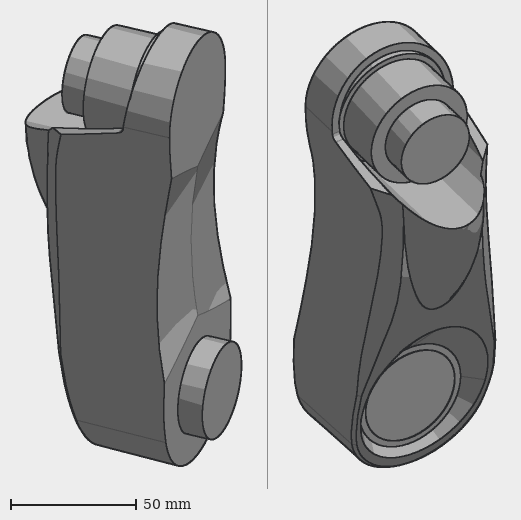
import cadquery as cq
import math


overall_length = 196.5

tool_span = 235.8

hub_radius = 28.5
lower_hub_radius = 33.2
axis_distance = overall_length - hub_radius - lower_hub_radius
lower_axis_z = -axis_distance
collar_diameter = 50.0
collar_height = 19.3
bearing_diameter = 45.2
bearing_height = 39.9
pin_diameter = 32.0
pin_height = 51.9
boss_diameter = 40.0
boss_length = 10.6

rib_height = 73.0
side_draft = 1.3
waist_half_width = 26.0
waist_top_z = -24.5
waist_bottom_z = -39.3
flare_half_width = 30.5
flare_z = -78.5
widest_half_width = 34.0
widest_z = -117.9
hub_blend_angle = 14
face_height = 57
face_bend_z = -76.6
face_bend_height = 54.2
face_slope = 11.7
bevel_edge_half_width = 22.5
bevel_edge_run = (5.3, 6.5, -40)
bevel_slope_run = (1, 1, 0)
rim_chamfer = 1.4

shoulder_top_height = 16.1
shoulder_bottom_height = 20.5
shoulder_z = -3.0
shoulder_run_height = 56.0
shoulder_run_z = -14.0
shoulder_fillet = 3.1

rib_base_height = 51.5
rib_half_width = 18.9
rib_crest_z = -24.2
rib_length = 57
rib_stations = (-0.3, 0, 0.3, 0.55, 0.75, 0.9, 0.98)

floor_height = 33.0
floor_diameter = 47.7
pocket_mouth_height = 53
pocket_mouth_half_width = 35.4
pocket_mouth_half_length = 41.3
pocket_mouth_shift = 4.5
cap_diameter = 42.0
cap_rise = 0.2

hollow_depth = 2.4
hollow_top_z = -34.0
hollow_bottom_z = -98.2
hollow_side_tilt = 4


def outward_plane(height, z=0):
    """Plane at a height above the mounting side, facing -X, local y along Z."""
    return cq.Plane(origin=(-height, 0, z), xDir=(0, -1, 0), normal=(-1, 0, 0))


def disc(diameter, start, end, z=0):
    """Cylinder along -X between two heights above the mounting side."""
    return cq.Workplane(outward_plane(start, z)).circle(diameter / 2).extrude(end - start)


def side_prism(sketch):
    """Extrude an XZ outline along Y, centred on the symmetry plane."""
    return sketch.close().extrude(tool_span).translate((0, tool_span / 2, 0))


def shell_outline(height, inset):
    """Closed outline of the shell walls, drawn in by an inset everywhere but at the upper hub."""
    blend = math.radians(hub_blend_angle)
    end_radius = lower_hub_radius - inset
    blend_y = end_radius * math.cos(blend)
    blend_z = lower_axis_z - end_radius * math.sin(blend)
    wall = [
        (waist_half_width - inset, waist_top_z),
        (waist_half_width - inset, waist_bottom_z),
        (flare_half_width - inset, flare_z),
        (widest_half_width - inset, widest_z),
        (blend_y, blend_z),
    ]
    opposite_wall = [(-y, z) for y, z in reversed(wall[:-1])] + [(-hub_radius, 0)]
    going_in = (-math.sin(blend), -math.cos(blend))
    coming_out = (-math.sin(blend), math.cos(blend))
    return (
        cq.Workplane(outward_plane(height))
        .moveTo(hub_radius, 0)
        .spline(wall, tangents=[(0, -1), going_in], includeCurrent=True)
        .threePointArc((0, lower_axis_z - end_radius), (-blend_y, blend_z))
        .spline(opposite_wall, tangents=[coming_out, (0, 1)], includeCurrent=True)
        .threePointArc((0, hub_radius), (hub_radius, 0))
        .close()
    )


def shell_block():
    """Shell walls with a slight draft, rising from the mounting side."""
    inset = rib_height * math.tan(math.radians(side_draft))
    base = shell_outline(0, 0).val()
    top = shell_outline(rib_height, inset).val()
    return cq.Workplane(cq.Solid.makeLoft([base, top], True))


def face_envelope():
    """Everything below the outer face: upright near the hub, then leaning inwards."""
    lean = math.tan(math.radians(face_slope))
    end_z = lower_axis_z - 2 * lower_hub_radius
    end_height = face_bend_height + lean * (end_z - face_bend_z)
    return side_prism(
        cq.Workplane("XZ")
        .moveTo(0, hub_radius)
        .lineTo(-face_height, hub_radius)
        .lineTo(-face_height, shoulder_run_z)
        .spline(
            [(-face_bend_height, face_bend_z), (-end_height, end_z)],
            tangents=[(0, -1), (lean, -1), (lean, -1)],
            includeCurrent=True,
        )
        .lineTo(0, end_z)
    )


def chamfer_lower_rim(shell):
    """Break the edge between the leaning face and the walls."""
    lower_face_edges = cq.selectors.BoxSelector(
        (-rib_height, -tool_span, -tool_span), (-floor_height, tool_span, face_bend_z)
    )
    return shell.edges(lower_face_edges).edges("not(|Y)").chamfer(rim_chamfer)


def bevel_cutter(side):
    """Slab lying on the flat bevel between the outer face and one side wall."""

    def on_side(vector):
        return cq.Vector(vector.x, side * vector.y, vector.z)

    edge = cq.Vector(*bevel_edge_run)
    outward = edge.cross(cq.Vector(*bevel_slope_run))
    if outward.x > 0:
        outward = -outward
    edge_point = cq.Vector(-face_bend_height, bevel_edge_half_width, face_bend_z)
    plane = cq.Plane(origin=on_side(edge_point), xDir=on_side(edge), normal=on_side(outward))
    return cq.Workplane(plane).rect(2 * tool_span, 2 * tool_span).extrude(tool_span)


def rib_section(z, half_width, rise):
    """Half-elliptical cross-section of the rib at one level, bulging towards -X."""
    return (
        cq.Workplane("XY", origin=(-rib_base_height, 0, z))
        .moveTo(0, half_width)
        .ellipseArc(rise, half_width, 90, 270)
        .close()
    )


def rib():
    """Rounded rib whose plan narrows as an ellipse while its crest falls as a parabola."""
    full_rise = rib_height - rib_base_height
    sections = [
        rib_section(
            rib_crest_z - rib_length * t,
            rib_half_width * math.sqrt(1 - t**2),
            full_rise * (1 - t**2),
        ).val()
        for t in rib_stations
    ]
    return cq.Workplane(cq.Solid.makeLoft(sections))


def joint_clearance():
    """Space in front of the upper hub: a wedge with a rounded corner and a round bore."""
    corner = cq.NearestToPointSelector((-shoulder_bottom_height, 0, shoulder_z))
    wedge = side_prism(
        cq.Workplane("XZ")
        .moveTo(-shoulder_top_height, hub_radius)
        .lineTo(-shoulder_bottom_height, shoulder_z)
        .lineTo(-shoulder_run_height, shoulder_run_z)
        .lineTo(-tool_span, shoulder_run_z)
        .lineTo(-tool_span, hub_radius)
    )
    bore = disc(collar_diameter, collar_height, tool_span)
    return wedge.edges(corner).fillet(shoulder_fillet).union(bore)


def upper_joint():
    """Collar, bearing seat and pin stacked on the upper axis."""
    collar = disc(collar_diameter, 0, collar_height)
    bearing = disc(bearing_diameter, 0, bearing_height)
    pin = disc(pin_diameter, 0, pin_height)
    return collar.union(bearing).union(pin)


def cover_pocket():
    """Oblique funnel from the round floor to an elliptical mouth."""
    return (
        cq.Workplane(outward_plane(floor_height, lower_axis_z))
        .circle(floor_diameter / 2)
        .workplane(offset=pocket_mouth_height - floor_height)
        .center(0, pocket_mouth_shift)
        .ellipse(pocket_mouth_half_width, pocket_mouth_half_length)
        .loft(ruled=True)
    )


def cover_cap():
    return disc(cap_diameter, 0, floor_height + cap_rise, lower_axis_z)


def hollow_cutter(side):
    """Large cylinder, tilted so the hollow deepens from the middle to one side wall."""
    half_length = (hollow_top_z - hollow_bottom_z) / 2
    middle_z = (hollow_top_z + hollow_bottom_z) / 2
    radius = (half_length**2 + hollow_depth**2) / (2 * hollow_depth)
    tilt = math.radians(hollow_side_tilt)
    axis = (-math.sin(tilt), side * math.cos(tilt), 0)
    plane = cq.Plane(origin=(radius - hollow_depth, 0, middle_z), xDir=(0, 0, 1), normal=axis)
    return cq.Workplane(plane).circle(radius).extrude(tool_span)


result = chamfer_lower_rim(shell_block().intersect(face_envelope()))
for side in (1, -1):
    result = result.cut(bevel_cutter(side))
result = result.union(rib()).cut(joint_clearance()).union(upper_joint())
result = result.cut(cover_pocket()).union(cover_cap())
for side in (1, -1):
    result = result.cut(hollow_cutter(side))
result = result.union(disc(boss_diameter, -boss_length, 0, lower_axis_z))